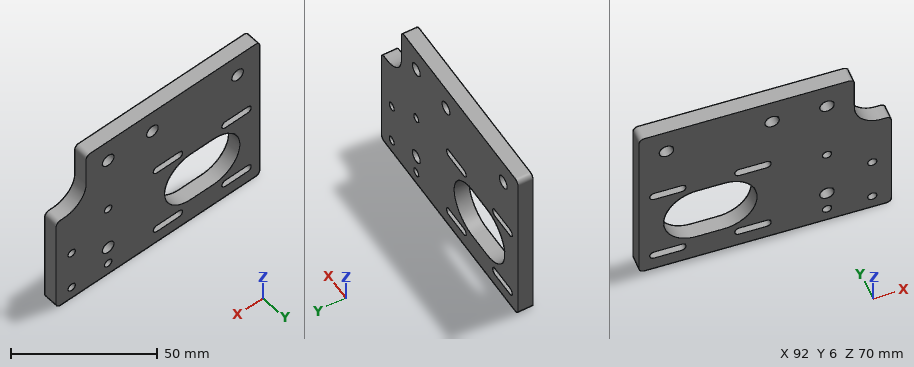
import cadquery as cq

width = 92.0
height = 70.0
thickness = 6.0
corner_radius = 2.0

notch_width = 13.5
notch_height = 25.0
notch_radius = 10.0

motor_x = 26.0
motor_z = 22.5
motor_travel = 10.0
opening_diameter = 24.0
screw_pitch = 31.0
screw_slot_width = 3.2

large_diameter = 5.2
right_column_x = 68.5
upper_row_z = 60.0
large_centres = [
    (10.0, upper_row_z),
    (48.5, upper_row_z),
    (right_column_x, upper_row_z),
    (right_column_x, 14.0),
]

small_diameter = 3.3
outer_column_x = 85.0
lower_row_z = 5.65
small_centres = [
    (right_column_x, lower_row_z),
    (outer_column_x, lower_row_z),
    (outer_column_x, 23.65),
    (right_column_x, 34.3),
]


def face_sketch():
    """Sketch plane on the y = 0 face, with local axes along global X and Z."""
    return cq.Workplane("XZ")


def make_plate():
    """Rectangular plate with a notched upper right corner and rounded corners."""
    shoulder_x = width - notch_width
    shoulder_z = height - notch_height
    outline = [
        (0, 0),
        (width, 0),
        (width, shoulder_z),
        (shoulder_x, shoulder_z),
        (shoulder_x, height),
        (0, height),
    ]
    plate = face_sketch().polyline(outline).close().extrude(-thickness)
    inner_edge = cq.selectors.NearestToPointSelector((shoulder_x, thickness / 2, shoulder_z))
    plate = plate.edges(inner_edge).fillet(notch_radius)
    sharp_corners = [point for point in outline if point != (shoulder_x, shoulder_z)]
    for x, z in sharp_corners:
        corner_edge = cq.selectors.NearestToPointSelector((x, thickness / 2, z))
        plate = plate.edges(corner_edge).fillet(corner_radius)
    return plate


def round_cutter(centres, diameter):
    """Through cylinders at the given (x, z) centres."""
    return face_sketch().pushPoints(centres).circle(diameter / 2).extrude(-thickness)


def slot_cutter(centres, slot_width):
    """Through slots along X whose end arcs are one motor travel apart."""
    slot_length = motor_travel + slot_width
    return face_sketch().pushPoints(centres).slot2D(slot_length, slot_width).extrude(-thickness)


half_pitch = screw_pitch / 2
screw_slot_centres = [
    (motor_x + side_x * half_pitch, motor_z + side_z * half_pitch)
    for side_x in (-1, 1)
    for side_z in (-1, 1)
]

result = (
    make_plate()
    .cut(slot_cutter([(motor_x, motor_z)], opening_diameter))
    .cut(slot_cutter(screw_slot_centres, screw_slot_width))
    .cut(round_cutter(large_centres, large_diameter))
    .cut(round_cutter(small_centres, small_diameter))
)